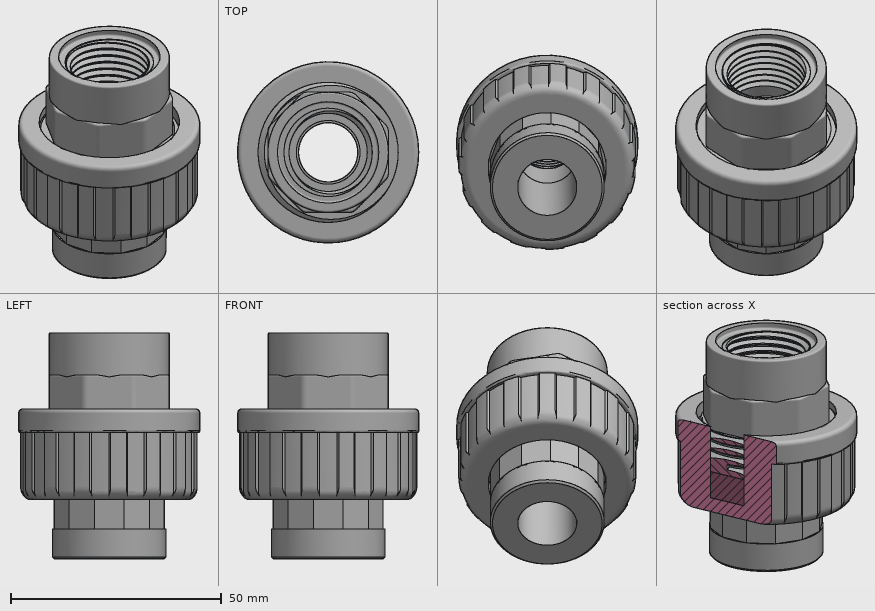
import cadquery as cq
import math

TOTAL_HEIGHT = 53.6
NUT_BOTTOM = 14.05
NUT_TOP = 35.6
NUT_SHOULDER = 17.7
JOINT_LEVEL = 24.1
NUT_BORE_DIA = 33.25

THREAD_FLAT = 1 / 6
GROOVE_OVERSHOOT = 0.2
STOCK_PITCHES = 3

COLLAR_DIA = 43.0
COLLAR_BOTTOM = 29.9
COLLAR_TOP_FILLET = 1.05
RIB_DIA = 42.0
VALLEY_DIA = 41.05
RIB_COUNT = 15
RIB_CREST_HALF_ANGLE = 5.1
RIB_FOOT_HALF_ANGLE = 6.2
FIRST_RIB_ANGLE = 90.0
RIB_FILLET = 2.9
VALLEY_FILLET = 2.0
TAIL_HOLE_DIA = 28.0

SOCKET_DIA = 28.5
SOCKET_TOP_FILLET = 0.4
OCTAGON_SIDES = 8
OCTAGON_TOP = 43.65
OCTAGON_CORNER_FILLET = 2.0
OCTAGON_TOP_FILLET = 0.5
RECESS_DIA = 24.0
RECESS_DEPTH = 1.5
RECESS_FILLET = 0.5
MOUTH_DEPTH = 0.2
MOUTH_DIA = 20.95
PIPE_THREAD_MAJOR_DIA = 20.9
PIPE_THREAD_MINOR_DIA = 18.55
PIPE_THREAD_PITCH = 1.8
PIPE_THREAD_TURNS = 7
PIPE_THREAD_LENGTH = 15.0
PIPE_THREAD_EXIT_ANGLE = 0.0
SOCKET_BORE_DIA = 15.1
UNION_THREAD_TOP = 33.95
UNION_THREAD_ROOT_DIA = 30.3
UNION_THREAD_PITCH = 2.5
UNION_THREAD_TURNS = 3
UNION_THREAD_EXIT_ANGLE = 180.0

TAIL_DIA = 27.0
TAIL_END_DIA = 26.0
TAIL_BORE_DIA = 14.0
TAIL_RING_TOP = 7.15
TAIL_SIDES = 12


def disc(diameter, bottom, top):
    """A solid cylinder on the Z axis between two levels."""
    return cq.Workplane("XY").workplane(offset=bottom).circle(diameter / 2).extrude(top - bottom)


def prism(sides, corner_dia, bottom, top):
    """A regular prism on the Z axis with flats facing +X and +Y."""
    return (
        cq.Workplane("XY")
        .workplane(offset=bottom)
        .transformed(rotate=(0, 0, 180 / sides))
        .polygon(sides, corner_dia)
        .extrude(top - bottom)
    )


def helical_groove(mouth_radius, root_radius, pitch, exit_level, exit_angle, turns):
    """A right-handed swept trapezoid, wide at the mouth radius and narrow at the root radius.

    Its centre line passes the exit level at the exit angle, with whole turns below it and one above.
    """
    root_half_width = pitch * THREAD_FLAT / 2
    mouth_half_width = pitch / 2 - root_half_width
    wide_radius = mouth_radius + GROOVE_OVERSHOOT * (mouth_radius - root_radius)
    wide_half_width = mouth_half_width + GROOVE_OVERSHOOT * (mouth_half_width - root_half_width)
    path = cq.Wire.makeHelix(pitch, pitch * (turns + 1), mouth_radius)
    section = cq.Workplane("XZ").polyline([
        (wide_radius, -wide_half_width),
        (root_radius, -root_half_width),
        (root_radius, root_half_width),
        (wide_radius, wide_half_width),
    ]).close()
    groove = section.sweep(cq.Workplane(path), isFrenet=True)
    start_level = exit_level - turns * pitch
    return groove.rotate((0, 0, 0), (0, 0, 1), exit_angle).translate((0, 0, start_level))


def polar_point(radius, angle):
    """The point at a radius and an angle in degrees from +X."""
    return radius * math.cos(math.radians(angle)), radius * math.sin(math.radians(angle))


def rib_wedge():
    """A prism along +X that limits one rib: straight inside the grip, with leaning flanks outside."""
    foot_x, foot_y = polar_point(VALLEY_DIA / 2, RIB_FOOT_HALF_ANGLE)
    crest_x, crest_y = polar_point(RIB_DIA / 2, RIB_CREST_HALF_ANGLE)
    inner_x = foot_x - RIB_FILLET
    outer_x = COLLAR_DIA / 2
    outer_y = foot_y + (crest_y - foot_y) / (crest_x - foot_x) * (outer_x - foot_x)
    outline = [
        (inner_x, -foot_y),
        (foot_x, -foot_y),
        (outer_x, -outer_y),
        (outer_x, outer_y),
        (foot_x, foot_y),
        (inner_x, foot_y),
    ]
    height = COLLAR_BOTTOM - NUT_BOTTOM
    return cq.Workplane("XY").workplane(offset=NUT_BOTTOM).polyline(outline).close().extrude(height)


def make_nut():
    """Ribbed grip under a plain collar; the bore narrows to a hole around the tail piece."""
    grip = disc(VALLEY_DIA, NUT_BOTTOM, COLLAR_BOTTOM).faces("<Z").edges().fillet(VALLEY_FILLET)

    drum = disc(RIB_DIA, NUT_BOTTOM, COLLAR_BOTTOM).faces("<Z").edges().fillet(RIB_FILLET)
    rib = drum.intersect(rib_wedge())
    for index in range(RIB_COUNT):
        angle = FIRST_RIB_ANGLE + index * 360 / RIB_COUNT
        grip = grip.union(rib.rotate((0, 0, 0), (0, 0, 1), angle))

    collar = disc(COLLAR_DIA, COLLAR_BOTTOM, NUT_TOP)
    collar = collar.faces(">Z").edges().fillet(COLLAR_TOP_FILLET)
    collar = collar.faces("<Z").edges().fillet((COLLAR_DIA - RIB_DIA) / 2)

    bore = disc(NUT_BORE_DIA, NUT_SHOULDER, NUT_TOP)
    tail_hole = disc(TAIL_HOLE_DIA, NUT_BOTTOM, NUT_SHOULDER)
    return grip.union(collar).cut(bore).cut(tail_hole)


def male_union_thread():
    """A threaded cylinder whose groove runs out through its top face."""
    stock_top = UNION_THREAD_TOP + STOCK_PITCHES * UNION_THREAD_PITCH
    groove = helical_groove(
        NUT_BORE_DIA / 2, UNION_THREAD_ROOT_DIA / 2, UNION_THREAD_PITCH,
        UNION_THREAD_TOP, UNION_THREAD_EXIT_ANGLE, UNION_THREAD_TURNS,
    )
    stock = disc(NUT_BORE_DIA, JOINT_LEVEL, stock_top).cut(groove)
    return stock.cut(disc(COLLAR_DIA, UNION_THREAD_TOP, stock_top))


def tapped_ring(bottom, top):
    """The threaded length of the barrel; its groove runs out through the top face."""
    stock_top = top + STOCK_PITCHES * PIPE_THREAD_PITCH
    groove = helical_groove(
        PIPE_THREAD_MINOR_DIA / 2, PIPE_THREAD_MAJOR_DIA / 2, PIPE_THREAD_PITCH,
        top, PIPE_THREAD_EXIT_ANGLE, PIPE_THREAD_TURNS,
    )
    stock = disc(SOCKET_DIA, bottom, stock_top).cut(disc(PIPE_THREAD_MINOR_DIA, bottom, stock_top))
    return stock.cut(groove).cut(disc(COLLAR_DIA, top, stock_top))


def barrel_rim(bottom):
    """The upper end of the barrel with its recess and the plain thread mouth."""
    recess_floor = TOTAL_HEIGHT - RECESS_DEPTH
    rim = disc(SOCKET_DIA, bottom, TOTAL_HEIGHT).faces(">Z").edges().fillet(SOCKET_TOP_FILLET)
    recess = disc(RECESS_DIA, recess_floor, TOTAL_HEIGHT).faces("<Z").edges().fillet(RECESS_FILLET)
    return rim.cut(recess).cut(disc(MOUTH_DIA, bottom, recess_floor))


def wrench_octagon():
    """An octagonal ring around the barrel, its flats tangent to the barrel."""
    corner_dia = SOCKET_DIA / math.cos(math.pi / OCTAGON_SIDES)
    octagon = prism(OCTAGON_SIDES, corner_dia, UNION_THREAD_TOP, OCTAGON_TOP)
    octagon = octagon.edges("|Z").fillet(OCTAGON_CORNER_FILLET)
    octagon = octagon.faces(">Z").edges().fillet(OCTAGON_TOP_FILLET)
    return octagon.cut(disc(RECESS_DIA, UNION_THREAD_TOP, OCTAGON_TOP))


def make_socket_body():
    """Upper end: male union thread below, wrench octagon, and a barrel with a female pipe thread."""
    thread_top = TOTAL_HEIGHT - RECESS_DEPTH - MOUTH_DEPTH
    thread_bottom = thread_top - PIPE_THREAD_LENGTH
    base = male_union_thread().union(disc(SOCKET_DIA, UNION_THREAD_TOP, thread_bottom))
    base = base.cut(disc(SOCKET_BORE_DIA, JOINT_LEVEL, thread_bottom))
    barrel = tapped_ring(thread_bottom, thread_top).union(barrel_rim(thread_top))
    return base.union(barrel).union(wrench_octagon())


def make_tail_piece():
    """Lower end: chamfered ring, twelve-sided shank, and the flange held by the nut."""
    end_ring = disc(TAIL_DIA, 0, TAIL_RING_TOP).faces("<Z").edges().chamfer((TAIL_DIA - TAIL_END_DIA) / 2)
    shank = prism(TAIL_SIDES, TAIL_DIA, TAIL_RING_TOP, NUT_SHOULDER)
    flange = disc(NUT_BORE_DIA, NUT_SHOULDER, JOINT_LEVEL)
    return end_ring.union(shank).union(flange).cut(disc(TAIL_BORE_DIA, 0, JOINT_LEVEL))


nut = make_nut()
socket_body = make_socket_body()
tail_piece = make_tail_piece()

result = cq.Compound.makeCompound([
    nut.solids().val(),
    socket_body.solids().val(),
    tail_piece.solids().val(),
])